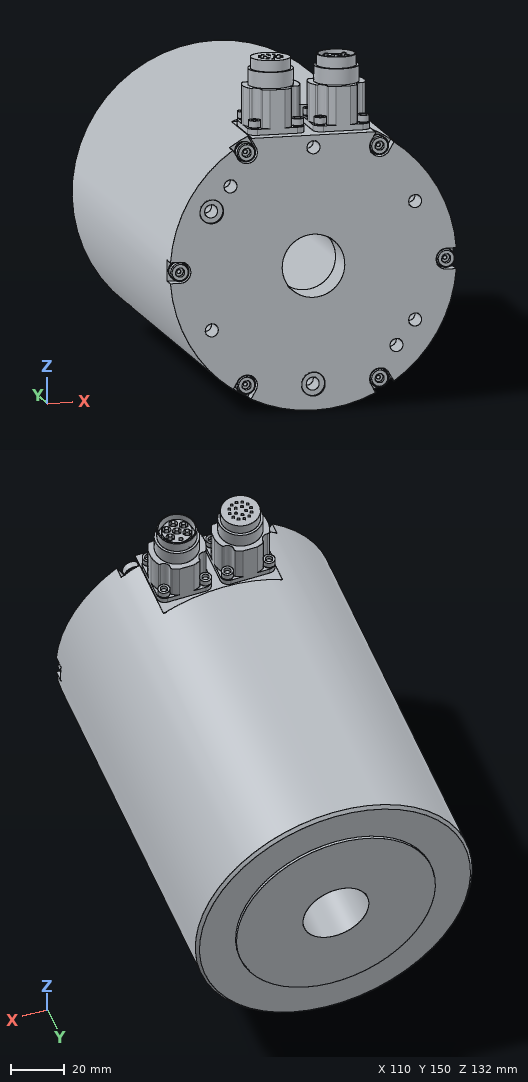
import cadquery as cq
import math

body_diameter = 110.0
body_radius = body_diameter / 2
total_length = 150.0
total_height = 132.0
pilot_height = 1.0
pilot_diameter = 78.9
body_length = total_length - pilot_height
rear_chamfer = 1.2
bore_diameter = 24.0
bore_depth = 14.0
rear_bore_diameter = 26.1

seat_z = 49.6
seat_length = 30.3

hole_circle_radius = 45.0
hole_diameter = 5.0
hole_depth = 10.0
drill_point_angle = 118.0
hole_angles = [30, 90, 150, 210, 270, 330]
extra_hole_angles = [135, 315]
counterbore_angles = [150, 270]
counterbore_diameter = 9.0
counterbore_depth = 1.0

screw_circle_radius = 51.0
screw_count = 6
notch_width = 8.0
notch_depth = 5.0
washer_diameter = 6.9
washer_thickness = 0.9
screw_head_diameter = 7.0
screw_head_recess = 0.5
screw_head_chamfer = 0.5
screw_socket_diameter = 3.5
screw_socket_depth = 2.0
screw_drill_diameter = 1.5
screw_drill_depth = 0.3

connector_offset_x = 12.6
connector_y = 15.2
connector_width = 21.6
connector_depth = 21.0
connector_corner_radius = 3.2
flange_height = 2.2
shell_height = 17.0
shell_diameter = 21.8
ring_height = 23.1
ring_diameter = 17.0
barrel_height = total_height - body_radius - seat_z
barrel_diameter = 15.0
flange_screw_offset = 8.2
flange_screw_pocket_diameter = 5.0
pocket_mouth_fillet = 0.8
flange_screw_head_diameter = 4.5
flange_screw_neck_diameter = 3.2
flange_screw_neck_height = 0.52
flange_screw_top = 5.4
flange_screw_socket_diameter = 2.7
flange_screw_socket_depth = 1.5

signal_hole_diameter = 1.0
signal_hole_depth = 2.2
signal_rings = [(12, 4.2), (5, 2.1)]

cup_diameter = 14.0
cup_depth = 4.0
insert_diameter = 11.4
insert_recess = 1.4
pin_hole_diameter = 3.2
pin_hole_depth = 2.2
pin_diameter = 1.5
pin_recess = 0.5
pin_circle_radius = 3.9
pin_angles = [30, 150, 210, 270, 330]
earth_hole_diameter = 1.5
earth_hole_radius = 4.2


def polar(radius, angle):
    """Point at the given radius and angle in degrees."""
    return radius * math.cos(math.radians(angle)), radius * math.sin(math.radians(angle))


def cylinder_y(diameter, start_y, end_y, point=(0, 0)):
    """Cylinder along Y, centred on the (x, z) point."""
    base = cq.Vector(point[0], start_y, point[1])
    return cq.Workplane(cq.Solid.makeCylinder(diameter / 2, end_y - start_y, base, cq.Vector(0, 1, 0)))


def cylinder_z(diameter, start_z, end_z, points=((0, 0),)):
    """Cylinders along Z, centred on the (x, y) points."""
    return (
        cq.Workplane("XY", origin=(0, 0, start_z))
        .pushPoints(points)
        .circle(diameter / 2)
        .extrude(end_z - start_z)
    )


def drilled_hole(diameter, start_y, depth, point=(0, 0)):
    """Cutter for a blind hole with a conical drill point."""
    cone_height = diameter / 2 / math.tan(math.radians(drill_point_angle / 2))
    base = cq.Vector(point[0], start_y + depth, point[1])
    cone = cq.Solid.makeCone(diameter / 2, 0, cone_height, base, cq.Vector(0, 1, 0))
    return cylinder_y(diameter, start_y, start_y + depth, point).union(cq.Workplane(cone))


def make_housing():
    housing = cylinder_y(body_diameter, 0, body_length).faces(">Y").edges().chamfer(rear_chamfer)
    housing = housing.union(cylinder_y(pilot_diameter, body_length, total_length))
    housing = housing.cut(cylinder_y(bore_diameter, 0, total_length))
    housing = housing.cut(cylinder_y(rear_bore_diameter, bore_depth, total_length))
    seat = cq.Workplane("XY").box(
        body_diameter, seat_length, body_radius, centered=(True, False, False)
    )
    return housing.cut(seat.translate((0, 0, seat_z)))


def cut_face_holes(housing):
    for angle in hole_angles + extra_hole_angles:
        point = polar(hole_circle_radius, angle)
        housing = housing.cut(drilled_hole(hole_diameter, 0, hole_depth, point))
    for angle in counterbore_angles:
        point = polar(hole_circle_radius, angle)
        housing = housing.cut(cylinder_y(counterbore_diameter, 0, counterbore_depth, point))
    return housing


def make_notch():
    """Cutter for a notch on the +X side, open to the rim."""
    center = (screw_circle_radius, 0)
    opening = cq.Workplane("XY").box(
        body_radius, notch_depth, notch_width, centered=(False, False, True)
    )
    return cylinder_y(notch_width, 0, notch_depth, center).union(
        opening.translate((screw_circle_radius, 0, 0))
    )


def make_housing_screw():
    """Socket head screw on its washer, axis on Y, standing on the notch floor."""
    head_back = notch_depth - washer_thickness
    head = cylinder_y(screw_head_diameter, screw_head_recess, head_back)
    head = head.faces("<Y or >Y").edges().chamfer(screw_head_chamfer)
    socket_floor = screw_head_recess + screw_socket_depth
    head = head.cut(cylinder_y(screw_socket_diameter, screw_head_recess, socket_floor))
    head = head.cut(drilled_hole(screw_drill_diameter, socket_floor, screw_drill_depth))
    return head.union(cylinder_y(washer_diameter, head_back, notch_depth))


def add_housing_screws(housing):
    notch = make_notch()
    screw = make_housing_screw().translate((screw_circle_radius, 0, 0))
    for index in range(screw_count):
        angle = index * 360 / screw_count
        housing = housing.cut(notch.rotate((0, 0, 0), (0, 1, 0), angle))
        housing = housing.union(screw.rotate((0, 0, 0), (0, 1, 0), angle))
    return housing


def flange_prism(height):
    """Square-cornered block with the outline of a connector flange."""
    return cq.Workplane("XY").rect(connector_width, connector_depth).extrude(height)


def is_pocket_mouth(edge):
    """True for the upright shell edges beside the corner pockets, away from the X and Y axes."""
    center = edge.Center()
    return min(abs(center.x), abs(center.y)) > flange_screw_offset / 2


def make_connector():
    """Connector shell standing on z = 0, its barrel still plain on top."""
    corners = [
        (side_x * flange_screw_offset, side_y * flange_screw_offset)
        for side_x in (-1, 1)
        for side_y in (-1, 1)
    ]
    shell = cylinder_z(shell_diameter, 0, shell_height)
    shell = shell.cut(cylinder_z(flange_screw_pocket_diameter, 0, shell_height, corners))
    shell = shell.edges("|Z").filter(is_pocket_mouth).fillet(pocket_mouth_fillet)
    shell = shell.intersect(flange_prism(shell_height))
    flange = flange_prism(flange_height).edges("|Z").fillet(connector_corner_radius)
    connector = flange.union(shell)
    connector = connector.union(cylinder_z(ring_diameter, 0, ring_height))
    connector = connector.union(cylinder_z(barrel_diameter, 0, barrel_height))
    head_bottom = flange_height + flange_screw_neck_height
    connector = connector.union(cylinder_z(flange_screw_neck_diameter, 0, head_bottom, corners))
    connector = connector.union(
        cylinder_z(flange_screw_head_diameter, head_bottom, flange_screw_top, corners)
    )
    socket_floor = flange_screw_top - flange_screw_socket_depth
    return connector.cut(
        cylinder_z(flange_screw_socket_diameter, socket_floor, flange_screw_top, corners)
    )


def make_signal_connector():
    points = []
    for count, radius in signal_rings:
        points += [polar(radius, 90 + index * 360 / count) for index in range(count)]
    floor = barrel_height - signal_hole_depth
    return make_connector().cut(cylinder_z(signal_hole_diameter, floor, barrel_height, points))


def make_power_connector():
    cup_floor = barrel_height - cup_depth
    insert_top = barrel_height - insert_recess
    hole_floor = insert_top - pin_hole_depth
    pin_top = barrel_height - pin_recess
    points = [(0, 0)] + [polar(pin_circle_radius, angle) for angle in pin_angles]
    earth_point = polar(earth_hole_radius, 90)
    connector = make_connector().cut(cylinder_z(cup_diameter, cup_floor, barrel_height))
    connector = connector.union(cylinder_z(insert_diameter, cup_floor, insert_top))
    connector = connector.cut(cylinder_z(pin_hole_diameter, hole_floor, insert_top, points))
    connector = connector.cut(cylinder_z(earth_hole_diameter, hole_floor, insert_top, [earth_point]))
    return connector.union(cylinder_z(pin_diameter, hole_floor, pin_top, points))


housing = add_housing_screws(cut_face_holes(make_housing()))
signal_connector = make_signal_connector().translate((-connector_offset_x, connector_y, seat_z))
power_connector = make_power_connector().translate((connector_offset_x, connector_y, seat_z))
result = housing.union(signal_connector).union(power_connector)